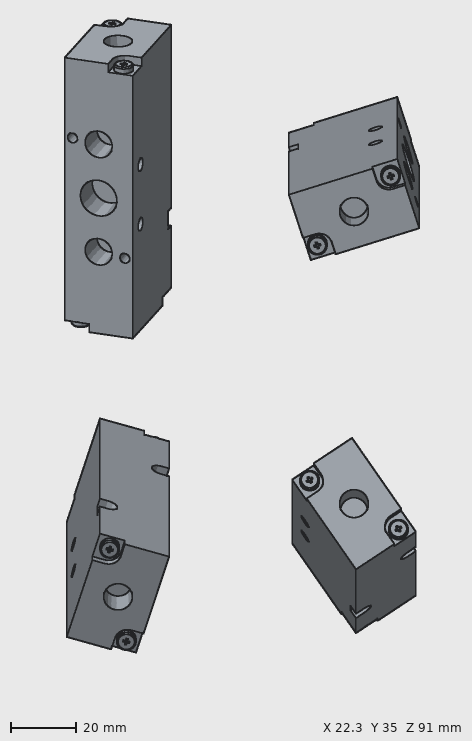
import cadquery as cq

WIDTH = 22.3
DEPTH = 35.0
HEIGHT = 91.0

PORT_DEPTH = 10.0
SMALL_PORT_DIAMETER = 8.8
SUPPLY_PORT_DIAMETER = 11.9
PORT_NARROWING = 0.55
EXHAUST_OFFSET = 18.0

FRONT_HOLE_DIAMETER = 3.2
FRONT_HOLE_X = 8.55
FRONT_HOLE_Z = 18.9
RECESS_WIDTH = 6.0
RECESS_DEPTH = 3.0
SIDE_HOLE_DIAMETER = 4.2
SIDE_HOLE_Y = -10.5
SIDE_HOLE_Z = 10.0

POCKET_SIZE = 8.0
POCKET_RADIUS = POCKET_SIZE / 2
POCKET_DEPTH = 2.8
SCREW_INSET_X = 4.2
SCREW_INSET_Y = 3.5
HEAD_DIAMETER = 6.0
HEAD_HEIGHT = 2.0
HEAD_CHAMFER = 0.5
CROSS_LENGTH = 2.0
CROSS_WIDTH = 0.55
CROSS_DEPTH = 0.5


def port(diameter):
    """Tapered port cutter: mouth on the XY plane, floor at -PORT_DEPTH."""
    floor_diameter = diameter - PORT_NARROWING
    return (
        cq.Workplane("XY")
        .circle(diameter / 2)
        .workplane(offset=-PORT_DEPTH)
        .circle(floor_diameter / 2)
        .loft()
    )


def front_port(diameter, z):
    """Port cutter with its mouth on the front (-Y) face."""
    return port(diameter).rotate((0, 0, 0), (1, 0, 0), 90).translate((0, -DEPTH / 2, z))


def front_mounting_hole(side):
    """Through hole along Y; its screw-head recess on the back opens through the side face."""
    x = side * FRONT_HOLE_X
    z = -side * FRONT_HOLE_Z
    hole = (
        cq.Workplane("XZ", origin=(x, DEPTH / 2, z))
        .circle(FRONT_HOLE_DIAMETER / 2)
        .extrude(DEPTH)
    )
    recess = (
        cq.Workplane("XZ", origin=(x, DEPTH / 2, z))
        .slot2D(RECESS_WIDTH * 2, RECESS_WIDTH)
        .extrude(RECESS_DEPTH)
        .translate((side * RECESS_WIDTH / 2, 0, 0))
    )
    return hole.union(recess)


def side_mounting_hole(z):
    """Through hole along X."""
    return (
        cq.Workplane("YZ", origin=(-WIDTH / 2, SIDE_HOLE_Y, z))
        .circle(SIDE_HOLE_DIAMETER / 2)
        .extrude(WIDTH)
    )


def corner_pocket():
    """Pocket cutter for the top corner at +X, -Y, with a rounded inner corner."""
    return (
        cq.Workplane("XY", origin=(WIDTH / 2, -DEPTH / 2, HEIGHT / 2))
        .rect(2 * POCKET_SIZE, 2 * POCKET_SIZE)
        .extrude(-POCKET_DEPTH)
        .edges("|Z")
        .fillet(POCKET_RADIUS)
    )


def cap_screw():
    """Cross-recessed screw head standing on the floor of the corner pocket."""
    head = (
        cq.Workplane("XY")
        .circle(HEAD_DIAMETER / 2)
        .extrude(HEAD_HEIGHT)
        .faces(">Z")
        .chamfer(HEAD_CHAMFER)
    )
    for length, width in ((CROSS_LENGTH, CROSS_WIDTH), (CROSS_WIDTH, CROSS_LENGTH)):
        slot = cq.Workplane("XY", origin=(0, 0, HEAD_HEIGHT)).rect(length, width).extrude(-CROSS_DEPTH)
        head = head.cut(slot)
    return head.translate(
        (WIDTH / 2 - SCREW_INSET_X, SCREW_INSET_Y - DEPTH / 2, HEIGHT / 2 - POCKET_DEPTH)
    )


def four_corners(shape):
    """Copies at two opposite top corners and at the other two corners of the bottom."""
    opposite = shape.rotate((0, 0, 0), (0, 0, 1), 180)
    top_pair = [shape, opposite]
    bottom_pair = [item.rotate((0, 0, 0), (0, 1, 0), 180) for item in top_pair]
    return top_pair + bottom_pair


result = cq.Workplane("XY").box(WIDTH, DEPTH, HEIGHT)

result = result.cut(front_port(SUPPLY_PORT_DIAMETER, 0))
for direction in (-1, 1):
    result = result.cut(front_port(SMALL_PORT_DIAMETER, direction * EXHAUST_OFFSET))

pilot_port = port(SMALL_PORT_DIAMETER).translate((0, 0, HEIGHT / 2))
result = result.cut(pilot_port)
result = result.cut(pilot_port.rotate((0, 0, 0), (0, 1, 0), 180))

for direction in (-1, 1):
    result = result.cut(front_mounting_hole(direction))
    result = result.cut(side_mounting_hole(direction * SIDE_HOLE_Z))

for pocket in four_corners(corner_pocket()):
    result = result.cut(pocket)
for screw in four_corners(cap_screw()):
    result = result.union(screw)